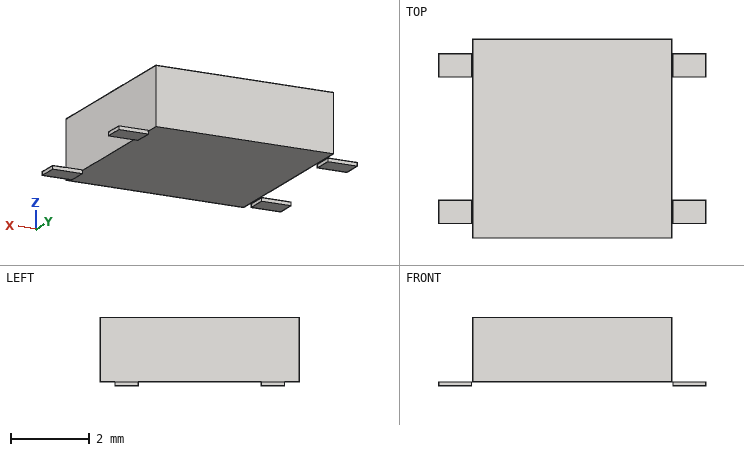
import cadquery as cq

body_side = 5.1
body_height = 1.65

lead_span = 6.85
lead_gap = 0.025
lead_width = 0.6
lead_thickness = 0.1
lead_pitch = 3.75

lead_inner_x = body_side / 2 + lead_gap
lead_length = lead_span / 2 - lead_inner_x
lead_center_x = lead_inner_x + lead_length / 2


def make_body():
    """Block with its underside level with the top faces of the leads."""
    return (
        cq.Workplane("XY")
        .workplane(offset=lead_thickness)
        .rect(body_side, body_side)
        .extrude(body_height)
    )


def make_lead(x_side, y_side):
    """Flat lead on the given X and Y sides (each -1 or 1), resting on Z = 0."""
    return (
        cq.Workplane("XY")
        .center(x_side * lead_center_x, y_side * lead_pitch / 2)
        .rect(lead_length, lead_width)
        .extrude(lead_thickness)
    )


body = make_body()
leads = [make_lead(x_side, y_side) for x_side in (-1, 1) for y_side in (-1, 1)]

result = cq.Compound.makeCompound([body.val(), *[lead.val() for lead in leads]])